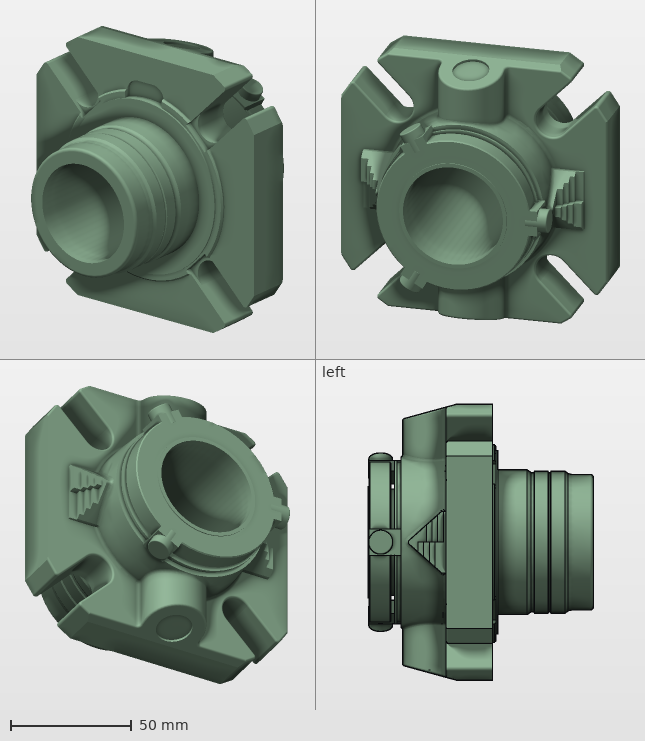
import cadquery as cq
import math


selection_margin = 0.06

plate_size = 114.3
plate_half = plate_size / 2
plate_thickness = 19.2
edge_half_length = 35.7
corner_slope = 2 / 3
corner_fillet = 1.4
slot_angles = (45, 135, 225, 315)
slot_width = 14.0
slot_end_centre = 47.0
bevel_start = 14.7
bevel_angle = 15.3
back_edge_fillet = 0.9

disc_diameter = 76.0
disc_height = 2.2
ring_diameter = 83.0
ring_height = 1.4
ring_chamfer = 0.7
channel_depth = 1.7
channel_inner = 38.6
notch_width = 19.2
notch_top = 45.3
notch_corner_radius = 5.7
notch_depth = 1.5

bore_diameter = 43.0
tube_end = 41.7
tip_diameter = 56.1
tip_length = 8.9
tip_fillet = 1.4
shoulder_diameter = 56.8
land_diameter = 58.9
tube_diameter = 60.0
groove_diameter = 57.6

body_back = 38.0
body_front_diameter = 73.0
body_back_diameter = 70.4
body_root_fillet = 1.4

sleeve_diameter = 46.3
sleeve_back = 51.5
neck_diameter = 44.1
flange_diameter = 67.7
flange_front = 39.5
flange_back = 40.7
collar_diameter = 66.2
collar_front = 42.1
collar_back = 51.1
collar_chamfer = 0.5

lug_angles = (60, 180, 300)
lug_width = 11.0
lug_inner = 30.9
lug_outer = 35.9
pin_diameter = 10.0
pin_outer = 40.0
pin_y = 46.3
pin_fillet = 0.5

ear_radius = 13.7
ear_centre_y = 23.5
ear_foot_fillet = 1.7
port_diameter = 15.3
port_y = 24.3
port_depth = 1.1

rib_tip_y = 35.4
rib_half_width = 12.8
rib_shoulder_y = 21.0
rib_tip_fillet = 1.1
rib_inner = 29.7
rib_crest_reach = 38.0
step_reaches = (40.3, 42.2, 44.1, 47.3)
step_heights = (30.9, 28.6, 26.2, 23.8)
low_side_drop = 3.4


def disc(diameter, y_start, y_end):
    """Cylinder on the Y axis from y_start to y_end."""
    blank = cq.Workplane("XZ", origin=(0, y_start, 0)).circle(diameter / 2)
    return blank.extrude(y_start - y_end)


def box(x_range, y_range, z_range):
    """Box between the given limits."""
    lengths = [high - low for low, high in (x_range, y_range, z_range)]
    corner = (x_range[0], y_range[0], z_range[0])
    return cq.Workplane("XY").box(*lengths, centered=False).translate(corner)


def turn(shape, angle):
    """Turn a shape about the part axis; positive angles go from +X towards +Z."""
    return shape.rotate((0, 0, 0), (0, 1, 0), -angle)


def bevel_z(y):
    """Height of the sloping outer face of the +Z ear and plate edge."""
    return plate_half - (y - bevel_start) * math.tan(math.radians(bevel_angle))


def make_slot_cutter():
    """Round-ended slot on the +X side, open outwards, through the plate."""
    cutter = disc(slot_width, 0, plate_thickness).translate((slot_end_centre, 0, 0))
    half_width = slot_width / 2
    return cutter.union(box((slot_end_centre, plate_size), (0, plate_thickness), (-half_width, half_width)))


def make_plate():
    peak = (plate_half + corner_slope * edge_half_length) / (1 + corner_slope)
    outline = [(edge_half_length, plate_half), (peak, peak), (plate_half, edge_half_length),
               (plate_half, -edge_half_length), (peak, -peak), (edge_half_length, -plate_half),
               (-edge_half_length, -plate_half), (-peak, -peak), (-plate_half, -edge_half_length),
               (-plate_half, edge_half_length), (-peak, peak), (-edge_half_length, plate_half)]
    plate = cq.Workplane("XZ").polyline(outline).close().extrude(-plate_thickness)
    for angle in slot_angles:
        plate = plate.cut(turn(make_slot_cutter(), angle))
    diagonal = slot_width / math.sqrt(2)
    corner_x = peak - diagonal / (1 + corner_slope)
    corner_z = corner_x + diagonal
    for x_side in (-1, 1):
        for z_side in (-1, 1):
            for x, z in ((corner_x, corner_z), (corner_z, corner_x)):
                nearest = cq.NearestToPointSelector((x_side * x, plate_thickness / 2, z_side * z))
                plate = plate.edges("|Y").edges(nearest).fillet(corner_fillet)
    return plate


def make_bevel_envelope():
    """Space between the two sloping faces on the +Z and -Z sides."""
    z_end = bevel_z(body_back)
    profile = [(-tube_end, plate_half), (bevel_start, plate_half), (body_back, z_end),
               (body_back, -z_end), (bevel_start, -plate_half), (-tube_end, -plate_half)]
    return cq.Workplane("YZ").polyline(profile).close().extrude(plate_half, both=True)


def make_ears():
    ears = disc(2 * ear_radius, 0, plate_size).rotate((0, 0, 0), (1, 0, 0), 90)
    ears = ears.translate((0, ear_centre_y, -plate_half))
    legs = box((-ear_radius, ear_radius), (plate_thickness / 2, ear_centre_y), (-plate_half, plate_half))
    return ears.union(legs)


def make_port_cutter():
    """Shallow round recess square to the sloping face of the +Z ear."""
    face = cq.Plane(origin=(0, port_y, bevel_z(port_y)), xDir=(1, 0, 0),
                    normal=(0, math.sin(math.radians(bevel_angle)), math.cos(math.radians(bevel_angle))))
    return cq.Workplane(face).circle(port_diameter / 2).extrude(-port_depth)


def make_body():
    front_radius = body_front_diameter / 2
    back_radius = body_back_diameter / 2
    profile = [(0, plate_thickness / 2), (front_radius, plate_thickness / 2),
               (front_radius, plate_thickness), (back_radius, body_back), (0, body_back)]
    return cq.Workplane("XY").polyline(profile).close().revolve(360, (0, 0, 0), (0, 1, 0))


def is_on_body_wall(edge):
    """True for an edge that lies on the conical wall of the body, short of its back face."""
    slope = (body_back_diameter - body_front_diameter) / 2 / (body_back - plate_thickness)
    for fraction in (0, 0.5, 1):
        point = edge.positionAt(fraction)
        wall_radius = body_front_diameter / 2 + slope * (point.y - plate_thickness)
        if abs(math.hypot(point.x, point.z) - wall_radius) > selection_margin:
            return False
        if point.y > body_back - selection_margin:
            return False
    return True


def make_tube():
    stations = [(0, tip_diameter), (tip_length, tip_diameter), (10.5, shoulder_diameter),
                (11.8, land_diameter), (17.5, land_diameter), (18.0, groove_diameter),
                (18.5, groove_diameter), (18.9, land_diameter), (24.3, land_diameter),
                (24.7, groove_diameter), (25.8, groove_diameter),
                (27.4, tube_diameter), (tube_end, tube_diameter)]
    outline = [(diameter / 2, distance - tube_end) for distance, diameter in stations]
    profile = [(0, -tube_end)] + outline + [(0, 0)]
    tube = cq.Workplane("XY").polyline(profile).close().revolve(360, (0, 0, 0), (0, 1, 0))
    return tube.faces("<Y").edges().fillet(tip_fillet)


def make_front_ring():
    """Chamfered locating ring with the taller disc inside it."""
    ring = disc(ring_diameter, -ring_height, 0).faces("<Y").edges().chamfer(ring_chamfer)
    return ring.union(disc(disc_diameter, -disc_height, 0))


def make_channel_cutter():
    """Shallow channel from the disc out into a slot on the +X side, through the ring."""
    half_width = slot_width / 2
    deep = box((channel_inner, slot_end_centre), (0, channel_depth), (-half_width, half_width))
    shallow = box((channel_inner, slot_end_centre), (-ring_height, 0), (-half_width, half_width))
    return deep.union(shallow.cut(disc(disc_diameter, -ring_height, 0)))


def make_notch_cutter():
    """Rounded notch in the plate and ring at the top of the disc."""
    half_width = notch_width / 2
    notch = box((-half_width, half_width), (-ring_height, notch_depth), (0, notch_top))
    notch = notch.edges("|Y and >Z").fillet(notch_corner_radius)
    return notch.cut(disc(disc_diameter, -ring_height, notch_depth))


def make_rib():
    """Triangular rib on the +X side; its +Z half has the higher steps."""
    outline = [(0, -rib_half_width), (rib_shoulder_y, -rib_half_width), (rib_tip_y, 0),
               (rib_shoulder_y, rib_half_width), (0, rib_half_width)]
    reach = step_reaches[-1]
    triangle = cq.Workplane("YZ").polyline(outline).close().extrude(reach)
    triangle = triangle.edges(">Y").fillet(rib_tip_fillet)
    both_sides = (-rib_half_width, rib_half_width)
    steps = box((rib_inner, rib_crest_reach), (0, rib_tip_y), both_sides)
    for step_reach, height in zip(step_reaches, step_heights):
        steps = steps.union(box((rib_inner, step_reach), (0, height), (0, rib_half_width)))
        low_height = height - low_side_drop
        steps = steps.union(box((rib_inner, step_reach), (0, low_height), (-rib_half_width, 0)))
    behind_plate = box((0, reach), (plate_thickness / 2, rib_tip_y), both_sides)
    return triangle.intersect(steps).intersect(behind_plate)


def make_drive_end():
    collar = disc(collar_diameter, collar_front, collar_back)
    collar = collar.faces("<Y or >Y").edges().chamfer(collar_chamfer)
    drive = disc(collar_diameter, body_back, flange_front)
    drive = drive.union(disc(flange_diameter, flange_front, flange_back))
    drive = drive.union(disc(neck_diameter, flange_back, collar_front)).union(collar)
    return drive.union(disc(sleeve_diameter, collar_back, sleeve_back))


def make_lug():
    """Lug and pin on the +X side."""
    half_width = lug_width / 2
    lug = box((lug_inner, lug_outer), (body_back, collar_back), (-half_width, half_width))
    pin = cq.Workplane("YZ", origin=(lug_inner, pin_y, 0)).circle(pin_diameter / 2)
    pin = pin.extrude(pin_outer - lug_inner).faces(">X").edges().fillet(pin_fillet)
    return lug.union(pin)


housing = make_plate().union(make_ears())
foot_low = (-ear_radius - selection_margin, plate_thickness - selection_margin, -plate_half)
foot_high = (ear_radius + selection_margin, plate_thickness + selection_margin, plate_half)
housing = housing.edges("|Z").edges(cq.selectors.BoxSelector(foot_low, foot_high)).fillet(ear_foot_fillet)
housing = housing.intersect(make_bevel_envelope())
back_low = (-plate_half, plate_thickness - selection_margin, -plate_half)
back_high = (plate_half, body_back, plate_half)
back_edges = housing.edges(cq.selectors.BoxSelector(back_low, back_high)).edges("(not |Z) or <X or >X")
housing = back_edges.fillet(back_edge_fillet)

for port_angle in (0, 180):
    housing = housing.cut(make_port_cutter().rotate((0, 0, 0), (0, 1, 0), port_angle))
housing = housing.union(make_body())
for rib_angle in (0, 180):
    housing = housing.union(turn(make_rib(), rib_angle))
root_edges = [edge for edge in housing.edges().vals() if is_on_body_wall(edge)]
housing = housing.newObject(root_edges).fillet(body_root_fillet)

housing = housing.union(make_front_ring()).cut(make_notch_cutter())
for channel_angle in slot_angles:
    housing = housing.cut(turn(make_channel_cutter(), channel_angle))

result = housing.union(make_tube()).union(make_drive_end())
for lug_angle in lug_angles:
    result = result.union(turn(make_lug(), lug_angle))
result = result.cut(disc(bore_diameter, -tube_end, sleeve_back))